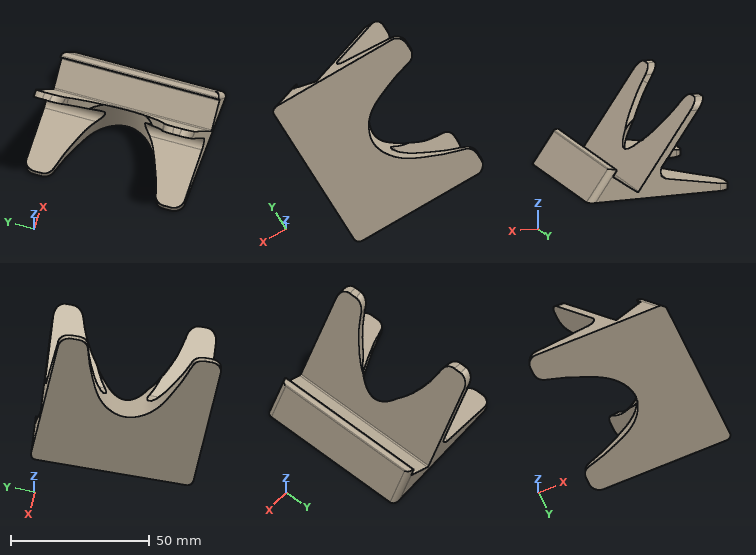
import cadquery as cq
import math

length = 55.0
width = 60.0
height = 35.3

lean = math.radians(55)
leg_slope = math.radians(10)
toe_height = 2.15
plate_top_back_x = 9.6
plate_top_front_x = 12.8
trough_depth_z = 2.4
seat_length = 11.8
lip_height = 11.9

corner_radius = 4.0
underside_radius = 3.0
trough_radius = 0.5
lip_corner_radius = 0.5
lip_side_radius = 2.15

leg_opening = [(-3.0, 21.05), (5.4, 18.6), (9.35, 17.4), (15.55, 14.95), (21.25, 12.3), (26.0, 8.75), (29.95, 0)]
plate_opening = [(-3.0, 20.45), (6.0, 18.1), (12.65, 15.65), (19.7, 11.8), (24.65, 7.55), (27.8, 0)]
cut_reach = 60.0
edge_tolerance = 0.05


def round_edge(solid, x, z, radius):
    """Fillet the one full-width edge that runs along Y through (x, z)."""
    low = (x - edge_tolerance, -width, z - edge_tolerance)
    high = (x + edge_tolerance, width, z + edge_tolerance)
    return solid.edges("|Y").edges(cq.selectors.BoxSelector(low, high)).fillet(radius)


def side_profile():
    """Outline in XZ, extruded over the full width and centred on Y = 0."""
    plate_slope = math.tan(lean)
    rise = math.tan(leg_slope)
    crotch_x = (height + plate_slope * plate_top_back_x - toe_height) / (plate_slope + rise)
    crotch_z = toe_height + rise * crotch_x

    trough_x = plate_top_front_x + (height - trough_depth_z) / plate_slope
    seat_end_x = trough_x + seat_length * math.sin(lean)
    seat_end_z = trough_depth_z + seat_length * math.cos(lean)
    lip_back_x = seat_end_x - (lip_height - seat_end_z) / plate_slope
    lip_front_x = length - lip_height / plate_slope

    body = (
        cq.Workplane("XZ")
        .moveTo(0, 0)
        .lineTo(length, 0)
        .lineTo(lip_front_x, lip_height)
        .lineTo(lip_back_x, lip_height)
        .lineTo(seat_end_x, seat_end_z)
        .lineTo(trough_x, trough_depth_z)
        .lineTo(plate_top_front_x, height)
        .lineTo(plate_top_back_x, height)
        .lineTo(crotch_x, crotch_z)
        .lineTo(0, toe_height)
        .close()
        .extrude(width / 2, both=True)
    )

    body = round_edge(body, crotch_x, crotch_z, underside_radius)
    body = round_edge(body, trough_x, trough_depth_z, trough_radius)
    body = round_edge(body, seat_end_x, seat_end_z, lip_corner_radius)
    body = round_edge(body, lip_back_x, lip_height, lip_corner_radius)
    return round_edge(body, lip_front_x, lip_height, lip_corner_radius)


def opening(plane, half_outline):
    """Symmetric rounded opening with straight flared ends, cut both ways along the plane's normal."""
    mouth, flare_end = half_outline[:2]
    flare = (flare_end[0] - mouth[0], flare_end[1] - mouth[1])
    mirrored = [(along, -across) for along, across in reversed(half_outline[1:-1])]
    return (
        cq.Workplane(plane)
        .workplane(offset=-cut_reach)
        .moveTo(*mouth)
        .lineTo(*flare_end)
        .spline(half_outline[2:] + mirrored, tangents=[flare, (-flare[0], flare[1])], includeCurrent=True)
        .lineTo(mouth[0], -mouth[1])
        .close()
        .extrude(2 * cut_reach)
    )


def lip_envelope():
    """Block flush with the sloping outer face of the lip, its two long edges on that face rounded."""
    plane = cq.Plane(origin=(length, 0, 0), xDir=lean_direction, normal=outward)
    return (
        cq.Workplane(plane)
        .rect(2 * cut_reach, width)
        .extrude(-2 * cut_reach)
        .faces(cq.selectors.DirectionMinMaxSelector(cq.Vector(*outward)))
        .edges("not |Y")
        .fillet(lip_side_radius)
    )


lean_direction = (math.cos(lean), 0, -math.sin(lean))
outward = (math.sin(lean), 0, math.cos(lean))
plate_plane = cq.Plane(origin=(plate_top_front_x, 0, height), xDir=lean_direction, normal=outward)

body = side_profile().intersect(lip_envelope())

body = body.cut(opening(plate_plane, plate_opening))
body = body.faces(">Z").edges("not |Y").fillet(corner_radius)

body = body.cut(opening(cq.Plane.XY(), leg_opening))
result = body.faces("<X").edges("|Z").fillet(corner_radius)